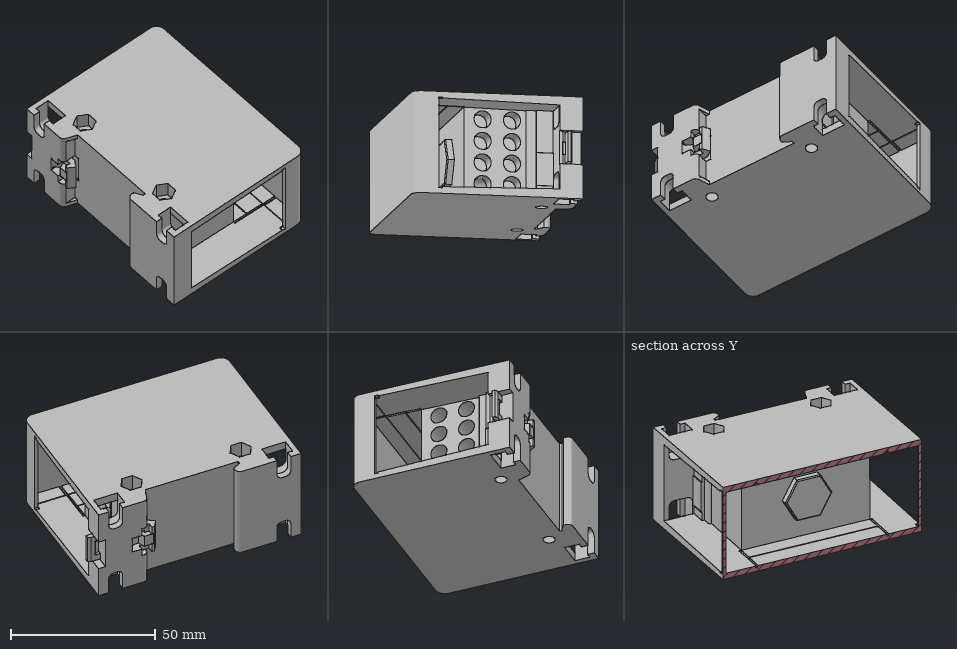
import cadquery as cq
import math

length = 78.0
height = 60.05
width = 36.0
mid_x = length / 2
half_width = width / 2
corner_radius = 3.5

floor_y = 8.1
cover_y = 51.0
rim_y = 49.7
inner_step_y = 52.5
roof_y = 58.0
rim_wall = 2.0
upper_wall = 2.3
lower_wall = 3.2
cover_end_wall = 1.4

block_front_x = 13.8
block_top_y = 39.3
lower_ledge_top_y = 14.0
upper_ledge_top_y = 17.4
ledge_step = 1.0
ledge_round = 0.9
pad_lower_z = -11.6
pad_thickness = 0.3
wire_hole_diameter = 6.0
wire_hole_pitch = 7.6
wire_hole_columns = 4
wire_hole_depth = 8.0
plain_row_y = 22.25
clamp_row_y = 32.65
clamp_round = 4.0
clamp_tangent_z = 12.5
bolt_head_flats = 15.8
bolt_head_height = 2.6
bolt_head_chamfer = 0.4
panel_groove_width = 0.8
panel_groove_depth = 0.4
side_groove_y = 45.0
side_groove_height = 0.3

nut_hole_spacing = 42.0
nut_hole_y = 11.0
nut_hole_diameter = 4.2
nut_flats = 7.0
nut_pocket_depth = 6.0

screw_inset_x = 6.65
screw_slot_width = 5.3
screw_slot_depth = 8.2
head_pocket_width = 9.1
head_pocket_depth = 10.0
head_seat_y = 2.55
screw_round = 2.05

channel_depth = 5.5
channel_left_x = 20.7
channel_left_low_x = 19.25
channel_left_round = 2.0
channel_left_foot_x = 18.8
channel_right_x = 56.4
channel_right_low_x = 53.4
channel_right_round = 1.9
hook_low_y = 2.8
hook_high_y = 4.5
channel_end_rib = 1.8

guide_width = 11.8
latch_width = 10.8
latch_reach = 2.0
front_guide_length = 2.7
tab_low_y = 4.06
tab_high_y = 5.77
tab_chamfer_length = 1.1
tab_chamfer_height = 0.6
tab_pocket_start_x = 0.6
tab_pocket_bend_x = 1.2
tab_pocket_shallow_y = 4.8
tab_pocket_deep_y = 5.4
tab_pocket_width = 6.0
tab_shelf_x = 1.4
tab_shelf_y = 6.85
tab_rib_start_x = 1.9
tab_rib_width = 4.3
guide_start_x = 16.7
guide_end_x = 21.2
guide_height = 6.0
latch_top_y = 4.3
latch_tip_x = 23.2
latch_tip_y = 2.6
latch_heel_x = 21.5
latch_relief_end_x = 20.5
latch_relief_height = 2.05
spring_slot_start_x = 13.0
spring_slot_end_x = 18.6
spring_slot_width = 6.0
spring_slot_depth = 4.0
spring_width = 4.4
tongue_setback = 0.15
scoop_radius = 2.6
scoop_bevel_start_x = 16.6
scoop_end_x = 17.7


def box(x_range, y_range, z_range):
    """Axis-aligned box between the given limits."""
    size = [high - low for low, high in (x_range, y_range, z_range)]
    corner = (x_range[0], y_range[0], z_range[0])
    return cq.Workplane("XY").box(*size, centered=False).translate(corner)


def centred_box(x_range, y_range, z_width):
    """Box between X and Y limits, centred on the middle plane Z = 0."""
    return box(x_range, y_range, (-z_width / 2, z_width / 2))


def mirror_x(tool):
    """Copy of a shape reflected across the middle of the housing length."""
    return tool.mirror("YZ", basePointVector=(mid_x, 0, 0))


def make_shell():
    """Solid housing blank with rounded long edges on the cover side."""
    blank = centred_box((0, length), (0, height), width)
    return blank.edges("|Z and >Y").fillet(corner_radius)


def drafted_passage():
    """Passage along the whole housing, widening from the floor up to the step below the roof."""
    top = half_width - upper_wall
    bottom = half_width - lower_wall
    section = cq.Workplane("YZ").polyline(
        [(floor_y, bottom), (inner_step_y, top), (inner_step_y, -top), (floor_y, -bottom)]
    )
    return section.close().extrude(length)


def cut_cavity(body):
    """Hollow the housing through both ends, leaving the cover ends and roof in place."""
    rim_width = width - 2 * rim_wall
    cover_end = centred_box((0, cover_end_wall), (cover_y, height), width)
    end_rim = centred_box((0, cover_end_wall), (rim_y, cover_y), rim_width)
    roof_room = centred_box(
        (cover_end_wall, length - cover_end_wall), (inner_step_y, roof_y), rim_width
    )
    passage = drafted_passage().cut(cover_end).cut(mirror_x(cover_end))
    return body.cut(passage).cut(roof_room).cut(end_rim).cut(mirror_x(end_rim))


def cut_wall_grooves(body):
    """Upright panel grooves at both block ends and one long groove joining them, on each side wall."""
    rear_x = length - block_front_x
    panel_groove = centred_box(
        (block_front_x - panel_groove_width, block_front_x),
        (block_top_y, roof_y),
        width - 2 * (rim_wall - panel_groove_depth),
    )
    side_groove = centred_box(
        (block_front_x, rear_x),
        (side_groove_y, side_groove_y + side_groove_height),
        width - 2 * (rim_wall - panel_groove_depth),
    )
    return body.cut(panel_groove).cut(mirror_x(panel_groove)).cut(side_groove)


def add_terminal_block(body):
    """Solid block with two stepped ledges at its foot, filling the cavity between its walls."""
    rear_x = length - block_front_x
    block = centred_box((block_front_x, rear_x), (floor_y, block_top_y), width)
    upper_front_x = block_front_x - ledge_step
    upper_ledge = centred_box(
        (upper_front_x, block_front_x), (floor_y, upper_ledge_top_y), width
    )
    upper_ledge = upper_ledge.edges("<X and >Y").fillet(ledge_round)
    lower_front_x = upper_front_x - ledge_step
    lower_ledge = centred_box(
        (lower_front_x, upper_front_x), (floor_y, lower_ledge_top_y), width
    )
    pad = box(
        (lower_front_x - pad_thickness, lower_front_x),
        (floor_y, lower_ledge_top_y),
        (pad_lower_z, 0),
    )
    ledges = upper_ledge.union(lower_ledge).union(pad)
    block = block.union(ledges).union(mirror_x(ledges))
    return body.union(block.intersect(drafted_passage()))


def wire_hole(y, z):
    hole = cq.Workplane("YZ", origin=(block_front_x, 0, 0)).center(y, z)
    return hole.circle(wire_hole_diameter / 2).extrude(wire_hole_depth)


def clamp_space():
    """Pair of spaces, each ending in a rounded corner, that bound the outer holes of the clamp row."""
    inner_z = clamp_tangent_z - clamp_round
    space = box(
        (block_front_x, block_front_x + wire_hole_depth),
        (floor_y, block_top_y),
        (inner_z, half_width),
    )
    space = space.edges("|Y and >X and <Z").fillet(clamp_round)
    return space.union(space.mirror("XY"))


def cut_wire_holes(body):
    outer_z = (wire_hole_columns - 1) * wire_hole_pitch / 2
    for column in range(wire_hole_columns):
        z = column * wire_hole_pitch - outer_z
        clamp_hole = wire_hole(clamp_row_y, z)
        if column in (0, wire_hole_columns - 1):
            clamp_hole = clamp_hole.intersect(clamp_space())
        body = body.cut(wire_hole(plain_row_y, z)).cut(clamp_hole)
    return body


def hexagon_diameter(across_flats):
    return across_flats / math.cos(math.pi / 6)


def add_bolt_head(body):
    """Hexagonal head on top of the block, with corners pointing along X."""
    plane = cq.Workplane("XZ", origin=(mid_x, block_top_y, 0))
    head = plane.polygon(6, hexagon_diameter(bolt_head_flats)).extrude(-bolt_head_height)
    return body.union(head.faces(">Y").chamfer(bolt_head_chamfer))


def cut_nut_holes(body):
    for side in (-1, 1):
        x = mid_x + side * nut_hole_spacing / 2
        bore = cq.Workplane("XY", origin=(x, nut_hole_y, -half_width))
        bore = bore.circle(nut_hole_diameter / 2).extrude(width)
        pocket = cq.Workplane("XY", origin=(x, nut_hole_y, half_width))
        pocket = pocket.polygon(6, hexagon_diameter(nut_flats)).extrude(-nut_pocket_depth)
        body = body.cut(bore).cut(pocket)
    return body


def screw_recess():
    """Open-sided screw slot with a wider head pocket above it, rounded at the inner end."""
    recess = cq.Workplane("XY")
    for slot_width, depth, y_range in (
        (screw_slot_width, screw_slot_depth, (0, head_seat_y)),
        (head_pocket_width, head_pocket_depth, (head_seat_y, floor_y)),
    ):
        slot = box(
            (screw_inset_x - slot_width / 2, screw_inset_x + slot_width / 2),
            y_range,
            (half_width - depth, half_width),
        )
        recess = recess.add(slot.edges("|Y and <Z").fillet(screw_round))
    return recess.combine()


def cut_screw_recesses(body):
    upper = screw_recess()
    for recess in (upper, upper.mirror("XY")):
        body = body.cut(recess).cut(mirror_x(recess))
    return body


def foot_edge(body, x):
    """Sharp edge along Z where a channel wall at the given X meets the rail face."""
    reach = 0.1
    corner_box = cq.selectors.BoxSelector(
        (x - reach, -reach, -width), (x + reach, reach, width)
    )
    return body.edges("|Z").edges(corner_box)


def cut_rail_channel(body):
    """Rail channel with one sloping wall, one hooked wall and rounded feet."""
    outline = cq.Workplane("XY", origin=(0, 0, -half_width)).polyline(
        [
            (channel_left_foot_x, 0),
            (channel_left_x, channel_depth),
            (channel_right_x, channel_depth),
            (channel_right_x, hook_high_y),
            (channel_right_low_x, hook_low_y),
            (channel_right_low_x, 0),
        ]
    )
    body = body.cut(outline.close().extrude(width))
    body = foot_edge(body, channel_left_foot_x).fillet(channel_left_round)
    body = foot_edge(body, channel_right_low_x).fillet(channel_right_round)
    undercut = centred_box(
        (channel_left_low_x, channel_left_x), (0, channel_depth), width - 2 * channel_end_rib
    )
    return body.cut(undercut)


def add_latch_tab(body):
    """Release tab of the latch, standing in a recess in the end wall."""
    recess = centred_box((0, front_guide_length), (0, floor_y), guide_width)
    tab = (
        cq.Workplane("XY", origin=(0, 0, -latch_width / 2))
        .moveTo(-latch_reach, tab_high_y)
        .lineTo(front_guide_length, tab_high_y)
        .lineTo(front_guide_length, tab_low_y)
        .lineTo(tab_chamfer_length - latch_reach, tab_low_y)
        .lineTo(-latch_reach, tab_low_y + tab_chamfer_height)
        .close()
        .extrude(latch_width)
    )
    pocket = (
        cq.Workplane("XY", origin=(0, 0, -tab_pocket_width / 2))
        .moveTo(tab_pocket_start_x, tab_low_y)
        .lineTo(tab_pocket_start_x, tab_pocket_shallow_y)
        .lineTo(tab_pocket_bend_x, tab_pocket_shallow_y)
        .lineTo(front_guide_length, tab_pocket_deep_y)
        .lineTo(front_guide_length, tab_low_y)
        .close()
        .extrude(tab_pocket_width)
    )
    shelf_x = (tab_shelf_x, front_guide_length)
    shelf = centred_box(shelf_x, (tab_shelf_y, floor_y), guide_width)
    rib_x = (tab_rib_start_x, front_guide_length)
    rib = centred_box(rib_x, (tab_high_y, tab_shelf_y), tab_rib_width)
    return body.cut(recess).union(tab.cut(pocket)).union(shelf).union(rib)


def add_latch_hook(body):
    """Wedge-shaped latch end that reaches into the rail channel."""
    guide = centred_box((guide_start_x, guide_end_x), (0, guide_height), guide_width)
    hook = (
        cq.Workplane("XY", origin=(0, 0, -latch_width / 2))
        .moveTo(guide_start_x, 0)
        .lineTo(latch_heel_x, 0)
        .lineTo(latch_tip_x, latch_tip_y)
        .lineTo(channel_left_x, latch_top_y)
        .lineTo(guide_start_x, latch_top_y)
        .close()
        .extrude(latch_width)
    )
    relief = centred_box(
        (guide_start_x, latch_relief_end_x), (0, latch_relief_height), latch_width
    )
    return body.cut(guide).union(hook.cut(relief))


def add_latch_spring(body):
    """Spring tongue set back from the latch, with a rounded scoop and a bevel at its free end."""
    slot = centred_box(
        (spring_slot_start_x, spring_slot_end_x), (0, spring_slot_depth), spring_slot_width
    )
    tongue = centred_box((spring_slot_start_x, guide_end_x), (0, spring_slot_depth), spring_width)
    arc_offset = scoop_radius * (1 - math.sqrt(0.5))
    scoop = (
        cq.Workplane("XY", origin=(0, 0, -spring_width / 2))
        .moveTo(spring_slot_start_x, 0)
        .threePointArc(
            (spring_slot_start_x + arc_offset, scoop_radius - arc_offset),
            (spring_slot_start_x + scoop_radius, scoop_radius),
        )
        .lineTo(scoop_bevel_start_x, scoop_radius)
        .lineTo(scoop_end_x, 0)
        .close()
        .extrude(spring_width)
    )
    setback = centred_box((scoop_end_x, guide_end_x), (0, tongue_setback), spring_width)
    return body.cut(slot).union(tongue.cut(scoop)).cut(setback)


result = make_shell()
result = cut_cavity(result)
result = cut_wall_grooves(result)
result = add_terminal_block(result)
result = cut_wire_holes(result)
result = add_bolt_head(result)
result = cut_nut_holes(result)
result = cut_screw_recesses(result)
result = cut_rail_channel(result)
result = add_latch_tab(result)
result = add_latch_hook(result)
result = add_latch_spring(result)